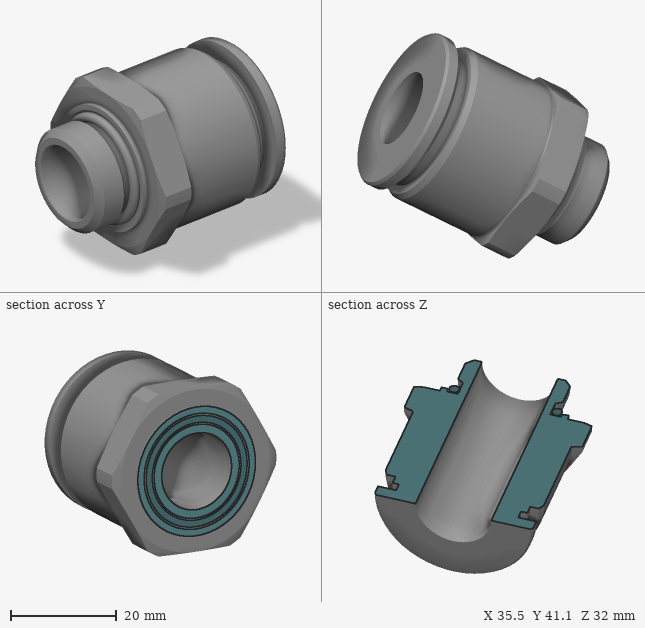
import cadquery as cq
import math


thread_start = 6.0
flange_front = 9.0
hex_front = 10.0
hex_back = 17.0
barrel_back = 35.2
collar_back = 37.0
sleeve_flange_front = 38.6
overall_length = 41.1

thread_radius = 10.48
neck_radius = 9.25
flange_radius = 12.75
barrel_radius = 15.8
collar_radius = 13.45
sleeve_radius = 12.2
bore_radius = 7.5

across_flats = 32.0
across_corners = across_flats / math.cos(math.pi / 6)
hex_corner_diameter = 35.49
hex_chamfer_angle = 15.0

thread_chamfer = 1.4
thread_run_out_angle = 30.0
barrel_chamfer_length = 1.1
barrel_chamfer_depth = 0.65
barrel_base_taper = 0.25
sleeve_flange_chamfer_length = 0.55
sleeve_flange_chamfer_depth = 0.4
mouth_chamfer = 0.2

ring_section_radius = 1.0
ring_center_radius = neck_radius + ring_section_radius
ring_front = 7.8
ring_center_y = ring_front + ring_section_radius
groove_bottom = ring_center_y + ring_section_radius
groove_radius = 11.3
groove_chamfer_width = 0.35
groove_chamfer_depth = 0.2

hex_flat_radius = across_flats / 2
hex_corner_radius = hex_corner_diameter / 2


def revolve_profile(points):
    """Revolve a closed outline of (radius, y) points about the Y axis."""
    return cq.Workplane("XY").polyline(points).close().revolve(360, (0, 0, 0), (0, 1, 0))


def make_turned_body():
    """All round outside steps, from the threaded end to the release sleeve."""
    run_out_length = (thread_radius - neck_radius) * math.tan(math.radians(thread_run_out_angle))
    return revolve_profile([
        (0, 0),
        (thread_radius - thread_chamfer, 0),
        (thread_radius, thread_chamfer),
        (thread_radius, thread_start),
        (neck_radius, thread_start + run_out_length),
        (neck_radius, groove_bottom),
        (groove_radius, groove_bottom),
        (groove_radius, flange_front + groove_chamfer_depth),
        (groove_radius + groove_chamfer_width, flange_front),
        (flange_radius, flange_front),
        (flange_radius, hex_front),
        (hex_flat_radius, hex_front),
        (hex_flat_radius, hex_back),
        (barrel_radius, hex_back + barrel_base_taper),
        (barrel_radius, barrel_back - barrel_chamfer_length),
        (barrel_radius - barrel_chamfer_depth, barrel_back),
        (collar_radius, barrel_back),
        (collar_radius, collar_back),
        (sleeve_radius, collar_back),
        (sleeve_radius, sleeve_flange_front),
        (barrel_radius, sleeve_flange_front),
        (barrel_radius, overall_length - sleeve_flange_chamfer_length),
        (barrel_radius - sleeve_flange_chamfer_depth, overall_length),
        (0, overall_length),
    ])


def make_hexagon():
    """Hexagon with flats facing +Z and -Z, its corners turned down and chamfered at both ends."""
    chamfer_length = (hex_corner_radius - hex_flat_radius) * math.tan(math.radians(hex_chamfer_angle))
    prism = (
        cq.Workplane("XZ", origin=(0, hex_front, 0))
        .polygon(6, across_corners)
        .extrude(hex_front - hex_back)
    )
    envelope = revolve_profile([
        (neck_radius, hex_front),
        (hex_flat_radius, hex_front),
        (hex_corner_radius, hex_front + chamfer_length),
        (hex_corner_radius, hex_back - chamfer_length),
        (hex_flat_radius, hex_back),
        (neck_radius, hex_back),
    ])
    return prism.intersect(envelope)


def make_bore():
    """Through bore with a chamfered mouth at the threaded end."""
    return revolve_profile([
        (0, 0),
        (bore_radius + mouth_chamfer, 0),
        (bore_radius, mouth_chamfer),
        (bore_radius, overall_length),
        (0, overall_length),
    ])


def make_fitting():
    return make_turned_body().union(make_hexagon()).cut(make_bore())


def make_o_ring():
    return (
        cq.Workplane("XY")
        .center(ring_center_radius, ring_center_y)
        .circle(ring_section_radius)
        .revolve(360, (-ring_center_radius, 0, 0), (-ring_center_radius, 1, 0))
    )


fitting = make_fitting()
o_ring = make_o_ring()

result = cq.Compound.makeCompound([fitting.val(), o_ring.val()])